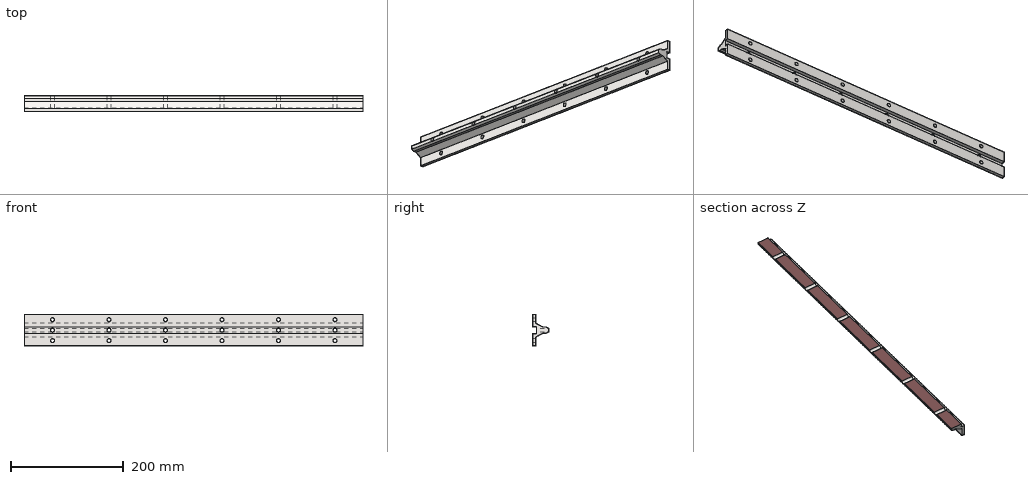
import cadquery as cq

length = 599.5
height = 56.0
depth = 28.56

flange_thickness = 5.8
slot_width = 12.0
slot_depth = 6.6
rib_width = 11.5
tip_chamfer_depth = 5.0
tip_chamfer_height = 2.4
gusset_depth = 12.1
gusset_height = 6.5

hole_diameter = 6.6
hole_count = 6
hole_pitch = 100.0
flange_hole_offset = 18.5


def make_rail():
    """Extrude the symmetric cross section along X."""
    half_rib = rib_width / 2
    half_slot = slot_width / 2
    half_height = height / 2
    upper_half = [
        (slot_depth, half_slot),
        (0, half_slot),
        (0, half_height),
        (flange_thickness, half_height),
        (flange_thickness, half_rib + gusset_height),
        (flange_thickness + gusset_depth, half_rib),
        (depth - tip_chamfer_depth, half_rib),
        (depth, half_rib - tip_chamfer_height),
    ]
    lower_half = [(y, -z) for y, z in reversed(upper_half)]
    profile = cq.Workplane("YZ").polyline(upper_half + lower_half).close()
    return profile.extrude(length / 2, both=True)


def make_holes():
    """Through holes along Y: one row in each flange and one through the rib."""
    first_x = -hole_pitch * (hole_count - 1) / 2
    points = []
    for index in range(hole_count):
        x = first_x + index * hole_pitch
        for z in (-flange_hole_offset, 0, flange_hole_offset):
            points.append((x, z))
    return (
        cq.Workplane("XZ")
        .pushPoints(points)
        .circle(hole_diameter / 2)
        .extrude(-depth)
    )


result = make_rail().cut(make_holes())